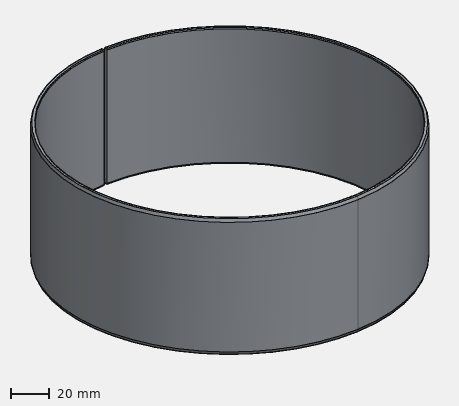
import cadquery as cq

outer_diameter = 205.0
height = 80.0
wall = 2.5
bevel_height = 1.8
bevel_depth = 0.68
inner_chamfer_height = 0.72
inner_chamfer_depth = 0.27
split_width = 1.8

outer_radius = outer_diameter / 2
inner_radius = outer_radius - wall
half_height = height / 2

rim_outer_radius = outer_radius - bevel_depth
rim_inner_radius = inner_radius + inner_chamfer_depth
bevel_start = half_height - bevel_height
chamfer_start = half_height - inner_chamfer_height

wall_section = [
    (inner_radius, -chamfer_start),
    (rim_inner_radius, -half_height),
    (rim_outer_radius, -half_height),
    (outer_radius, -bevel_start),
    (outer_radius, bevel_start),
    (rim_outer_radius, half_height),
    (rim_inner_radius, half_height),
    (inner_radius, chamfer_start),
]
ring = cq.Workplane("XZ").polyline(wall_section).close().revolve(360, (0, 0, 0), (0, 1, 0))

split = cq.Workplane("XY").box(
    outer_diameter, split_width, height, centered=(False, False, True)
).translate((-outer_diameter, 0, 0))

result = ring.cut(split)